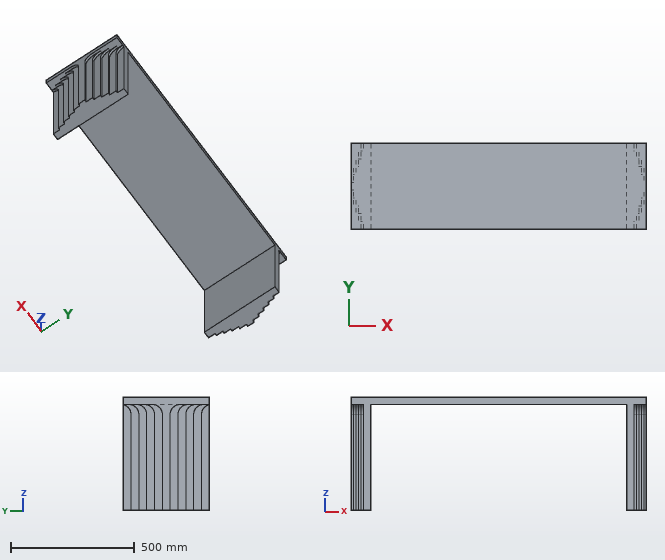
import cadquery as cq
import math


length = 1200.0
depth = 350.0
height = 460.0

top_thickness = 30.0
panel_thickness = 20.0
flute_depth = 60.0
layer_count = 6
flare_radius = 40.0

leg_height = height - top_thickness
layer_thickness = flute_depth / layer_count
strip_count = 2 * layer_count - 1
strip_width = depth / strip_count
leg_thickness = flute_depth + panel_thickness


def make_top():
    """Full-length slab that carries the upper face of the bench."""
    return cq.Workplane("XY").box(
        length, depth, top_thickness, centered=(False, True, False)
    ).translate((0, 0, leg_height))


def make_panel():
    """Plain full-width board on the inner side of the left leg."""
    return cq.Workplane("XY").box(
        panel_thickness, depth, leg_height, centered=(False, True, False)
    ).translate((flute_depth, 0, 0))


def make_layer(index):
    """Upright layer of the left leg, flared outwards under the top; index 0 is the outermost."""
    half_width = (index + 0.5) * strip_width
    flare_end = half_width + flare_radius
    spring_height = leg_height - flare_radius
    arc_middle_y = flare_end - flare_radius * math.sqrt(0.5)
    arc_middle_z = spring_height + flare_radius * math.sqrt(0.5)
    layer = (
        cq.Workplane("YZ", origin=(index * layer_thickness, 0, 0))
        .moveTo(-half_width, 0)
        .lineTo(half_width, 0)
        .lineTo(half_width, spring_height)
        .threePointArc((arc_middle_y, arc_middle_z), (flare_end, leg_height))
        .lineTo(-flare_end, leg_height)
        .threePointArc((-arc_middle_y, arc_middle_z), (-half_width, spring_height))
        .close()
        .extrude(layer_thickness)
    )
    return layer.intersect(leg_envelope)


def make_leg():
    """Left leg: the inner panel with all the stepped layers in front of it."""
    leg = make_panel()
    for index in range(layer_count):
        leg = leg.union(make_layer(index))
    return leg


leg_envelope = cq.Workplane("XY").box(leg_thickness, depth, leg_height, centered=(False, True, False))
left_leg = make_leg()
right_leg = left_leg.mirror("YZ", (length / 2, 0, 0))

result = make_top().union(left_leg).union(right_leg)